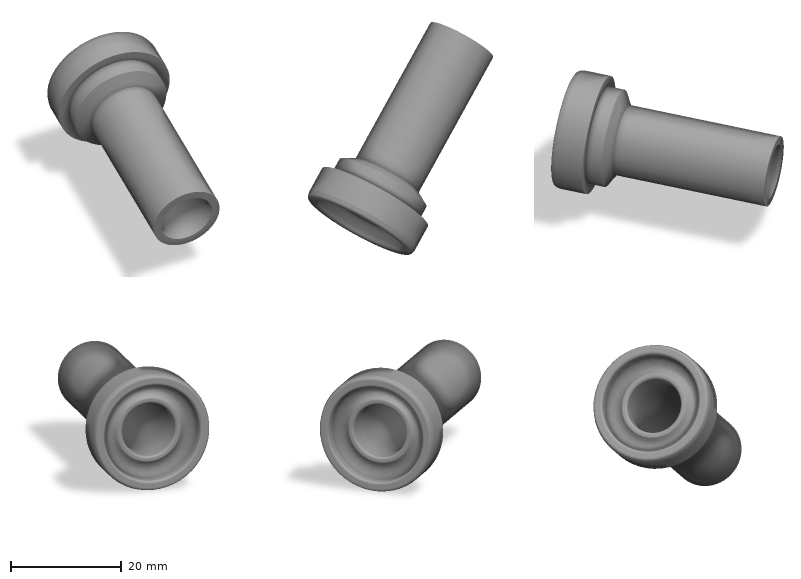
import cadquery as cq
import math

TOTAL_LENGTH = 39.0
TUBE_RADIUS = 13.0 / 2
BORE_RADIUS = 10.0 / 2
COLLAR_RADIUS = 18.0 / 2
HEAD_RADIUS = 21.9 / 2
HEAD_LENGTH = 6.0
COLLAR_LENGTH = 3.0
SHOULDER_LENGTH = 1.5

TAPER_LENGTH = 1.0
TAPER_ANGLE = math.radians(15)
RIM_ROUND = 0.5

GROOVE_RADIUS = 9.0
FLOOR_RADIUS = 7.45
GROOVE_DEPTH = 3.4
FLOOR_CURVE = 1.55
LIP_RECESS = 2.35
LIP_RADIUS = 6.1
LIP_WALL_ANGLE = math.radians(60)
LIP_OUTER_ROUND = 0.35
BORE_ROUND = 0.5


def stepped_body():
    """Head, collar, conical shoulder and tube as one revolved solid."""
    collar_end = HEAD_LENGTH + COLLAR_LENGTH
    shoulder_end = collar_end + SHOULDER_LENGTH
    nose_radius = HEAD_RADIUS - TAPER_LENGTH * math.tan(TAPER_ANGLE)
    profile = (
        cq.Workplane("XY")
        .polyline(
            [
                (0, 0),
                (0, nose_radius),
                (TAPER_LENGTH, HEAD_RADIUS),
                (HEAD_LENGTH, HEAD_RADIUS),
                (HEAD_LENGTH, COLLAR_RADIUS),
                (collar_end, COLLAR_RADIUS),
                (shoulder_end, TUBE_RADIUS),
                (TOTAL_LENGTH, TUBE_RADIUS),
                (TOTAL_LENGTH, 0),
            ]
        )
        .close()
    )
    body = profile.revolve(360, (0, 0, 0), (1, 0, 0))
    return body.faces("<X").edges().fillet(RIM_ROUND)


def round_point(center, radius, angle):
    """Point on a rounding, at an angle from the -X direction towards +Y."""
    x, y = center
    return (x - radius * math.cos(angle), y + radius * math.sin(angle))


def cavity():
    """Bore, bore lip and round-bottomed groove, all opening on the head face."""
    quarter_turn = math.pi / 2
    mouth_center = (RIM_ROUND, GROOVE_RADIUS + RIM_ROUND)
    lip_center = (
        LIP_RECESS + LIP_OUTER_ROUND,
        LIP_RADIUS - LIP_OUTER_ROUND * math.sin(LIP_WALL_ANGLE),
    )
    bore_center = (LIP_RECESS + BORE_ROUND, BORE_RADIUS + BORE_ROUND)

    corner_center = (GROOVE_DEPTH - FLOOR_CURVE, FLOOR_RADIUS)
    corner = round_point(corner_center, FLOOR_CURVE, 3 * math.pi / 4)
    floor = (GROOVE_DEPTH, FLOOR_RADIUS)
    lip_end = round_point(lip_center, LIP_OUTER_ROUND, LIP_WALL_ANGLE)
    lip_direction = (-math.sin(LIP_WALL_ANGLE), -math.cos(LIP_WALL_ANGLE))

    profile = (
        cq.Workplane("XY")
        .moveTo(0, 0)
        .lineTo(0, GROOVE_RADIUS + RIM_ROUND)
        .threePointArc(
            round_point(mouth_center, RIM_ROUND, -quarter_turn / 2),
            round_point(mouth_center, RIM_ROUND, -quarter_turn),
        )
        .spline(
            [corner, floor, lip_end],
            tangents=[(1, 0), (1, -1), (0, -1), lip_direction],
            includeCurrent=True,
        )
        .threePointArc(
            round_point(lip_center, LIP_OUTER_ROUND, LIP_WALL_ANGLE / 2),
            round_point(lip_center, LIP_OUTER_ROUND, 0),
        )
        .lineTo(*round_point(bore_center, BORE_ROUND, 0))
        .threePointArc(
            round_point(bore_center, BORE_ROUND, -quarter_turn / 2),
            round_point(bore_center, BORE_ROUND, -quarter_turn),
        )
        .lineTo(TOTAL_LENGTH, BORE_RADIUS)
        .lineTo(TOTAL_LENGTH, 0)
        .close()
    )
    return profile.revolve(360, (0, 0, 0), (1, 0, 0))


result = stepped_body().cut(cavity())